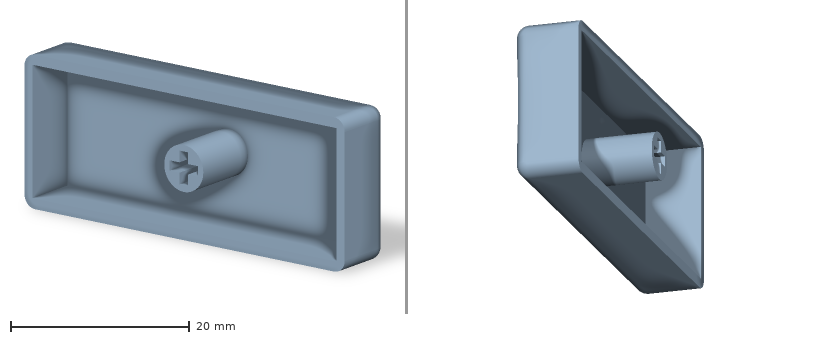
import cadquery as cq

length = 45.0
height = 18.0
depth = 7.65
edge_radius = 1.5
end_wall = 1.12
long_wall = 1.2
back_thickness = 1.12
floor_y = depth - back_thickness

dish_depth = 0.35
dish_width = 13.95
dish_radius = ((dish_width / 2) ** 2 + dish_depth ** 2) / (2 * dish_depth)

stem_diameter = 5.5
stem_projection = 1.75
stem_x = 1.2
cross_span = 3.95
cross_arm_width = 1.2
cross_depth = stem_projection + floor_y


def block(size_x, size_y, size_z, start_y):
    """Box centred on X and Z that extends toward +Y from start_y."""
    return cq.Workplane("XY").box(size_x, size_y, size_z).translate((0, start_y + size_y / 2, 0))


def make_shell():
    outer = block(length, depth, height, 0)
    outer = outer.edges("|Y").fillet(edge_radius)
    outer = outer.faces(">Y").edges().fillet(edge_radius)
    dish = (
        cq.Workplane("YZ")
        .center(depth - dish_depth + dish_radius, 0)
        .circle(dish_radius)
        .extrude(length / 2, both=True)
    )
    cavity = block(length - 2 * end_wall, floor_y, height - 2 * long_wall, 0)
    return outer.cut(dish).cut(cavity)


def make_stem():
    root_y = floor_y + back_thickness / 2
    return (
        cq.Workplane("XZ", origin=(stem_x, root_y, 0))
        .circle(stem_diameter / 2)
        .extrude(root_y + stem_projection)
    )


def make_cross_socket():
    wide_arm = block(cross_span, cross_depth, cross_arm_width, -stem_projection)
    tall_arm = block(cross_arm_width, cross_depth, cross_span, -stem_projection)
    return wide_arm.union(tall_arm).translate((stem_x, 0, 0))


result = make_shell().union(make_stem()).cut(make_cross_socket())